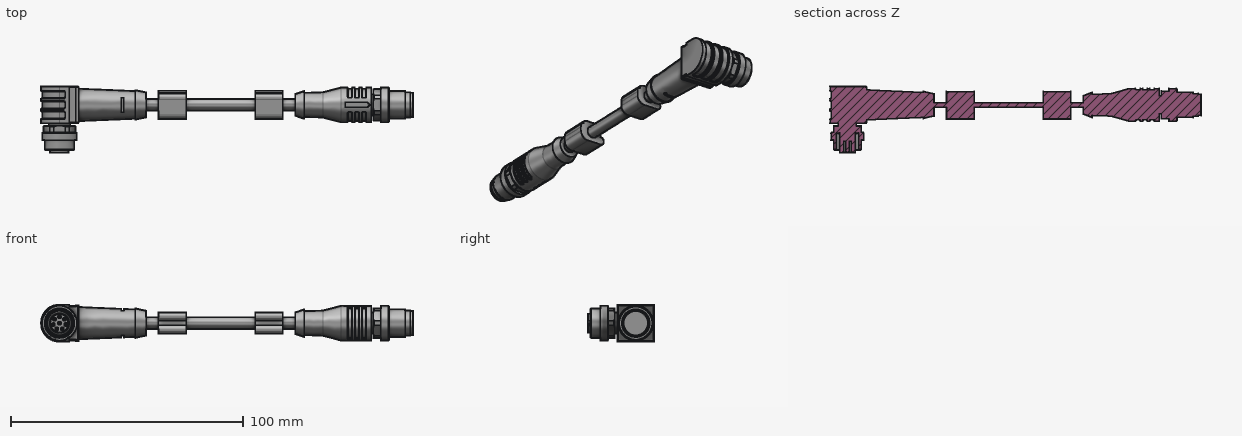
import cadquery as cq
import math


OVERLAP = 0.5

grip_radius = 7.985
housing_half_width = 8.0
grip_end_x = 4.2
block_end_x = 8.3
block_half_height = 7.5
collar_start_x = 6.9
collar_half_height = 7.7
housing_chamfer = 0.5
grip_groove_depth = 0.5
grip_groove_floor_width = 2.7
grip_groove_mouth_width = 3.6
grip_groove_pitch = 4.4
grip_groove_end_x = 2.4
grip_groove_corner = 0.9

neck_diameter = 9.3
socket_hex_start = 9.0
socket_ring_start = 11.75
socket_ring_end = 15.2
socket_barrel_end = 19.5
socket_tip = 20.7
socket_barrel_diameter = 12.8
socket_bore_diameter = 10.8
socket_barrel_chamfer = 0.4
insert_diameter = 8.3
insert_chamfer = 0.2
seal_ring_radius = 4.7
seal_section_radius = 0.6
key_width = 2.2
key_depth = 0.7
outer_contact_count = 7
contact_circle_radius = 2.75
contact_mouth_diameter = 1.4
contact_diameter = 0.7
contact_mouth_depth = 0.4
contact_depth = 5.0

hex_across_flats = 12.8
hex_corner_diameter = 13.8
hex_corner_chamfer = 0.4
ring_diameter = 15.0
ring_chamfer = 0.4

relief_root_diameter = 14.1
relief_end_x = 32.6
relief_end_diameter = 12.0
relief_lip_diameter = 12.8
relief_lip_end_x = 37.3
relief_lip_end_diameter = 10.8
notch_start_x = 26.6
notch_width = 1.1
notch_half_height = 5.4

cable_diameter = 5.2
clip_length = 12.0
clip_starts_x = (42.6, 84.2)
clip_half_height = 4.6
clip_half_width = 6.1
clip_lobe_radius = 1.8
clip_corner_radius = 3.6
clip_seam_y = 5.0
clip_seam_width = 0.5
clip_seam_depth = 0.6

overall_length = 160.17
tip_x = overall_length - grip_radius
plug_start_x = tip_x - 50.8
plug_lip_x = tip_x - 46.9
plug_waist_x = tip_x - 38.8
plug_body_x = tip_x - 31.1
plug_body_end_x = tip_x - 17.9
plug_hex_x = tip_x - 17.2
plug_ring_x = tip_x - 13.9
plug_barrel_x = tip_x - 10.3
plug_relief_x = tip_x - 3.4
plug_nose_x = tip_x - 1.1
plug_start_diameter = 9.3
plug_lip_diameter = 12.0
plug_cone_diameter = 10.5
plug_waist_diameter = 10.95
plug_body_diameter = 15.0
plug_barrel_diameter = 12.0
plug_relief_diameter = 10.95
plug_nose_diameter = 10.5
plug_groove_first_x = plug_body_x + 3.9
plug_groove_pitch = 3.05
plug_groove_count = 3
plug_groove_floor_width = 1.5
plug_groove_mouth_width = 2.1
plug_groove_depth = 0.5
plug_groove_end_radius = 0.9
plug_groove_clear_half_width = 3.0
arrow_start_x = plug_body_x + 2.0
arrow_end_x = plug_body_end_x - 0.8
arrow_half_width = 1.1
arrow_depth = 0.3
arrow_point_chamfer = 1.0


def box(x0, x1, y0, y1, z0, z1):
    return cq.Workplane("XY").box(x1 - x0, y1 - y0, z1 - z0, centered=False).translate((x0, y0, z0))


def turned_x(stations):
    """Body of revolution about X from (x, diameter) stations."""
    profile = [(x, diameter / 2) for x, diameter in stations]
    first_x = stations[0][0]
    last_x = stations[-1][0]
    outline = cq.Workplane("XY").polyline([(first_x, 0)] + profile + [(last_x, 0)]).close()
    return outline.revolve(360, (0, 0, 0), (1, 0, 0))


def disc_x(start, end, diameter):
    return turned_x([(start, diameter), (end, diameter)])


def hex_x(start, end):
    """Hexagon with flats at +-Z and its corners turned to a cylinder, chamfered at the start."""
    across_corners = hex_across_flats / math.cos(math.pi / 6)
    prism = cq.Workplane("YZ").polygon(6, across_corners).extrude(end - start).translate((start, 0, 0))
    envelope = disc_x(start, end, hex_corner_diameter).faces("<X").edges().chamfer(hex_corner_chamfer)
    return prism.intersect(envelope)


def ring_x(start, end):
    return disc_x(start, end, ring_diameter)


def grip_solid(radius, half_width, end_x):
    """Half round nose with flat top and bottom, running along Y."""
    outline = (
        cq.Workplane("XZ")
        .moveTo(end_x, radius)
        .lineTo(0, radius)
        .threePointArc((-radius, 0), (0, -radius))
        .lineTo(end_x, -radius)
        .close()
    )
    return outline.extrude(half_width, both=True)


def make_grip_groove(center_y):
    """Groove with sloping walls that follows the nose and runs out with round corners on the flats."""
    floor_half = grip_groove_floor_width / 2
    mouth_half = grip_groove_mouth_width / 2
    floor_z = grip_radius - grip_groove_depth
    reach = grip_radius + OVERLAP
    start = center_y - mouth_half
    end = center_y + mouth_half
    section = cq.Workplane("YZ").polyline([
        (center_y - floor_half, floor_z),
        (center_y + floor_half, floor_z),
        (end, grip_radius),
        (end, reach),
        (start, reach),
        (start, grip_radius),
    ]).close()
    straight = section.extrude(grip_groove_end_x)
    round_part = section.toPending().revolve(360, (0, 0, 0), (1, 0, 0))
    round_part = round_part.intersect(box(-reach, 0, start, end, -reach, reach))
    groove = round_part.union(straight).union(straight.mirror("XY"))
    limits = box(-reach, grip_groove_end_x, start, end, -reach, reach)
    return groove.intersect(limits.edges("|Z and >X").fillet(grip_groove_corner))


def make_housing():
    w = housing_half_width
    h = block_half_height
    c = collar_half_height
    block = box(0, block_end_x, -w, w, -h, h)
    collar = box(collar_start_x, block_end_x, -w, w, -c, c)
    block = block.edges("|X or (|Z and >X)").chamfer(housing_chamfer)
    collar = collar.edges("|X or (|Z and >X)").chamfer(housing_chamfer)
    housing = grip_solid(grip_radius, w, grip_end_x).union(block).union(collar)
    for step in (-1, 0, 1):
        housing = housing.cut(make_grip_groove(step * grip_groove_pitch))
    return housing


def make_insert():
    """Contact carrier with a keyway and a ring of contact holes round a central one, built along +X."""
    radius = insert_diameter / 2
    insert = disc_x(0, socket_tip, insert_diameter).faces(">X").edges().chamfer(insert_chamfer)
    key = box(
        socket_ring_end, socket_tip,
        radius - key_depth, radius,
        -key_width / 2, key_width / 2,
    )
    insert = insert.cut(key)
    places = [(0, 0)]
    for index in range(outer_contact_count):
        angle = index * 2 * math.pi / outer_contact_count
        places.append((contact_circle_radius * math.sin(angle), contact_circle_radius * math.cos(angle)))
    hole = disc_x(socket_tip - contact_depth, socket_tip, contact_diameter)
    hole = hole.union(disc_x(socket_tip - contact_mouth_depth, socket_tip, contact_mouth_diameter))
    for y, z in places:
        insert = insert.cut(hole.translate((0, y, z)))
    return insert


def make_seal():
    """Sealing ring round the insert, resting on the floor of the nut bore."""
    section = cq.Workplane("XY").center(socket_ring_start, seal_ring_radius).circle(seal_section_radius)
    return section.revolve(360, (0, -seal_ring_radius, 0), (1, -seal_ring_radius, 0))


def make_socket_nut():
    neck = disc_x(housing_half_width - OVERLAP, socket_hex_start + OVERLAP, neck_diameter)
    ring = ring_x(socket_ring_start, socket_ring_end).faces("<X").edges().chamfer(ring_chamfer)
    barrel = disc_x(socket_ring_end - OVERLAP, socket_barrel_end, socket_barrel_diameter)
    barrel = barrel.faces(">X").edges().chamfer(socket_barrel_chamfer)
    nut = neck.union(hex_x(socket_hex_start, socket_ring_start + OVERLAP)).union(ring).union(barrel)
    nut = nut.cut(disc_x(socket_ring_start, socket_barrel_end, socket_bore_diameter))
    nut = nut.union(make_insert()).union(make_seal())
    return nut.rotate((0, 0, 0), (0, 0, 1), -90)


def make_strain_relief():
    relief = turned_x([
        (block_end_x - OVERLAP, relief_root_diameter),
        (relief_end_x, relief_end_diameter),
        (relief_end_x, relief_lip_diameter),
        (relief_lip_end_x, relief_lip_end_diameter),
    ])
    reach = relief_root_diameter / 2
    notch_end_x = notch_start_x + notch_width
    relief = relief.cut(box(notch_start_x, notch_end_x, -reach, reach, notch_half_height, reach))
    return relief.cut(box(notch_start_x, notch_end_x, -reach, reach, -reach, -notch_half_height))


def make_clip(start_x):
    """Clip with a round +Y side and two lobes parted by a groove on the -Y side."""
    top = clip_half_height
    side = clip_half_width
    lobe = clip_lobe_radius
    corner = clip_corner_radius
    lobe_y = lobe - side
    lobe_z = top - lobe
    corner_y = side - corner
    corner_z = top - corner
    mid = corner * math.sqrt(0.5)
    outline = (
        cq.Workplane("YZ")
        .moveTo(lobe_y, top)
        .lineTo(corner_y, top)
        .threePointArc((corner_y + mid, corner_z + mid), (side, corner_z))
        .lineTo(side, -corner_z)
        .threePointArc((corner_y + mid, -corner_z - mid), (corner_y, -top))
        .lineTo(lobe_y, -top)
        .threePointArc((-side, -lobe_z), (lobe_y, -lobe_z + lobe))
        .lineTo(lobe_y, lobe_z - lobe)
        .threePointArc((-side, lobe_z), (lobe_y, top))
        .close()
    )
    clip = outline.extrude(clip_length)
    seam_floor_z = corner_z + math.sqrt(corner ** 2 - (clip_seam_y - corner_y) ** 2) - clip_seam_depth
    seam = box(
        0, clip_length,
        clip_seam_y - clip_seam_width / 2, clip_seam_y + clip_seam_width / 2,
        seam_floor_z, top,
    )
    return clip.cut(seam).translate((start_x, 0, 0))


def make_plug_groove(center_x):
    """Pair of side grooves round the +Y and -Y sides, with rounded ends short of the top and bottom."""
    floor_half = plug_groove_floor_width / 2
    mouth_half = plug_groove_mouth_width / 2
    start = center_x - mouth_half
    end = center_x + mouth_half
    radius = plug_body_diameter / 2
    clear = plug_groove_clear_half_width
    floor_diameter = plug_body_diameter - 2 * plug_groove_depth
    core = turned_x([
        (start, plug_body_diameter),
        (center_x - floor_half, floor_diameter),
        (center_x + floor_half, floor_diameter),
        (end, plug_body_diameter),
    ])
    near = box(start, end, -radius, -clear, -radius, radius)
    near = near.edges("|Z and >Y").fillet(plug_groove_end_radius).cut(core)
    return near.union(near.mirror("XZ"))


def make_arrow_recess():
    top = plug_body_diameter / 2
    recess = box(arrow_start_x, arrow_end_x, -arrow_half_width, arrow_half_width, top - arrow_depth, top)
    return recess.edges("|Z and >X").chamfer(arrow_point_chamfer)


def make_plug():
    plug = turned_x([
        (plug_start_x, plug_start_diameter),
        (plug_lip_x, plug_lip_diameter),
        (plug_lip_x, plug_cone_diameter),
        (plug_waist_x, plug_waist_diameter),
        (plug_body_x, plug_body_diameter),
        (plug_body_end_x, plug_body_diameter),
        (plug_body_end_x, neck_diameter),
        (plug_ring_x, neck_diameter),
        (plug_ring_x, plug_barrel_diameter),
        (plug_relief_x, plug_barrel_diameter),
        (plug_relief_x, plug_relief_diameter),
        (plug_nose_x, plug_relief_diameter),
        (plug_nose_x, plug_nose_diameter),
        (tip_x, plug_nose_diameter),
    ])
    ring = ring_x(plug_ring_x, plug_barrel_x).faces(">X").edges().chamfer(ring_chamfer)
    plug = plug.union(hex_x(plug_hex_x, plug_ring_x + OVERLAP)).union(ring)
    for index in range(plug_groove_count):
        plug = plug.cut(make_plug_groove(plug_groove_first_x + index * plug_groove_pitch))
    return plug.cut(make_arrow_recess())


result = make_housing().union(make_socket_nut()).union(make_strain_relief())
result = result.union(disc_x(relief_lip_end_x - OVERLAP, plug_start_x + OVERLAP, cable_diameter))
for clip_start_x in clip_starts_x:
    result = result.union(make_clip(clip_start_x))
result = result.union(make_plug())